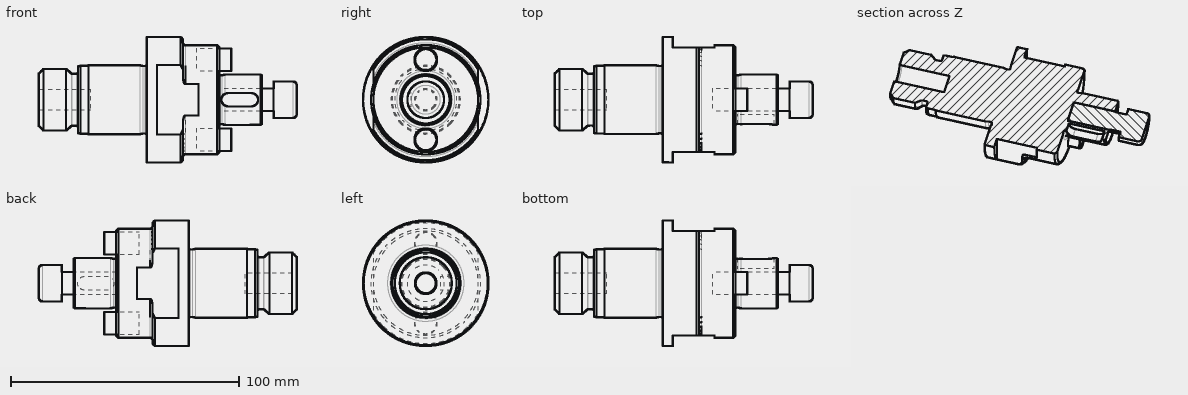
import cadquery as cq


NOSE_RADIUS = 13.6
NOSE_CHAMFER = 2.1
NOSE_END = 12.0
NECK_RADIUS = 11.4
NECK_START = 14.5
NECK_FILLET = 0.6

SHANK_START = 17.2
LEAD_RADIUS = 14.9
LEAD_CHAMFER_LENGTH = 1.0
LEAD_CHAMFER_DEPTH = 0.3
LEAD_END = 21.8
SHANK_RADIUS = 15.1

FLANGE_FRONT = 47.1
FLANGE_BACK = 63.2
FLANGE_DIAMETER = 55.0
FLANGE_RADIUS = FLANGE_DIAMETER / 2
FLANGE_FRONT_CHAMFER = 0.3
BACK_CHAMFER = 1.0
HUB_FILLET = 1.0
HUB_RADIUS = 24.0
HUB_BACK = 79.1

FLAT_START = 51.8
FLAT_END = 70.0
FLAT_OFFSET = 22.9

PILOT_RADIUS = 11.1
PILOT_END = 97.9
PILOT_CHAMFER = 0.7
KEYWAY_START = 80.0
KEYWAY_END = 96.0
KEYWAY_WIDTH = 5.8
KEYWAY_DEPTH = 4.5

SHANK_UNDERCUT_LENGTH = 2.7
PILOT_UNDERCUT_LENGTH = 2.5
UNDERCUT_TAPER_LENGTH = 1.2
UNDERCUT_DEPTH = 0.3
UNDERCUT_FACE_DEPTH = 0.2
UNDERCUT_FACE_WIDTH = 1.6
UNDERCUT_CORNER_RADIUS = 0.8

BORE_RADIUS = 4.4
BORE_DEPTH = 22.6
BORE_MOUTH_RADIUS = 4.7
BORE_MOUTH_DEPTH = 1.1

SCREW_RADIUS = 5.0
SCREW_START = HUB_BACK
SCREW_HEAD_START = 102.8
SCREW_HEAD_RADIUS = 8.0
SCREW_HEAD_FILLET = 1.7
SCREW_END = 113.0

PIN_RADIUS = 5.0
PIN_OFFSET = 17.5
PIN_END = 84.5
PIN_SEAT_DEPTH = 2 * PIN_RADIUS
PIN_CHAMFER = 0.3


def revolve_about_x(profile):
    """Revolve a closed (x, radius) profile about the X axis."""
    return profile.close().revolve(360, (0, 0, 0), (1, 0, 0))


def cylinder(start, end, radius, z=0):
    """Cylinder parallel to X between two stations, at height z."""
    return cq.Workplane("YZ", origin=(start, 0, z)).circle(radius).extrude(end - start)


def edge_at(x, radius):
    """Selector for the circular edge around the X axis at a station."""
    tolerance = 0.01
    reach = radius + tolerance
    low_corner = (x - tolerance, -reach, -reach)
    high_corner = (x + tolerance, reach, reach)
    return cq.selectors.BoxSelector(low_corner, high_corner, boundingbox=True)


def turned_body():
    """Stepped outline of the arbor with its chamfers and fillets."""
    outline = (
        cq.Workplane("XY")
        .moveTo(0, 0)
        .lineTo(0, NOSE_RADIUS - NOSE_CHAMFER)
        .lineTo(NOSE_CHAMFER, NOSE_RADIUS)
        .lineTo(NOSE_END, NOSE_RADIUS)
        .lineTo(NECK_START, NECK_RADIUS)
        .lineTo(SHANK_START, NECK_RADIUS)
        .lineTo(SHANK_START, LEAD_RADIUS - LEAD_CHAMFER_DEPTH)
        .lineTo(SHANK_START + LEAD_CHAMFER_LENGTH, LEAD_RADIUS)
        .lineTo(LEAD_END, LEAD_RADIUS)
        .lineTo(LEAD_END, SHANK_RADIUS)
        .lineTo(FLANGE_FRONT, SHANK_RADIUS)
        .lineTo(FLANGE_FRONT, FLANGE_RADIUS - FLANGE_FRONT_CHAMFER)
        .lineTo(FLANGE_FRONT + FLANGE_FRONT_CHAMFER, FLANGE_RADIUS)
        .lineTo(FLANGE_BACK - BACK_CHAMFER, FLANGE_RADIUS)
        .lineTo(FLANGE_BACK, FLANGE_RADIUS - BACK_CHAMFER)
        .lineTo(FLANGE_BACK, HUB_RADIUS)
        .lineTo(HUB_BACK - BACK_CHAMFER, HUB_RADIUS)
        .lineTo(HUB_BACK, HUB_RADIUS - BACK_CHAMFER)
        .lineTo(HUB_BACK, PILOT_RADIUS)
        .lineTo(PILOT_END - PILOT_CHAMFER, PILOT_RADIUS)
        .lineTo(PILOT_END, PILOT_RADIUS - PILOT_CHAMFER)
        .lineTo(PILOT_END, 0)
    )
    body = revolve_about_x(outline)
    for neck_corner in (NECK_START, SHANK_START):
        body = body.edges(edge_at(neck_corner, NECK_RADIUS)).fillet(NECK_FILLET)
    return body.edges(edge_at(FLANGE_BACK, HUB_RADIUS)).fillet(HUB_FILLET)


def undercut(face, radius, length, toward_face):
    """Ring cut where a cylinder meets a face; toward_face is the X sign from cylinder to face."""
    floor = radius - UNDERCUT_DEPTH
    bottom = face + toward_face * UNDERCUT_FACE_DEPTH
    arc_start = bottom - toward_face * UNDERCUT_CORNER_RADIUS
    taper_start = face - toward_face * length
    taper_end = taper_start + toward_face * UNDERCUT_TAPER_LENGTH
    profile = (
        cq.Workplane("XY")
        .moveTo(taper_start, radius)
        .lineTo(taper_end, floor)
        .lineTo(arc_start, floor)
        .tangentArcPoint((bottom, floor + UNDERCUT_CORNER_RADIUS), relative=False)
        .lineTo(face, radius + UNDERCUT_FACE_WIDTH)
        .lineTo(taper_start, radius + UNDERCUT_FACE_WIDTH)
    )
    return revolve_about_x(profile)


def wrench_flats():
    """Two blocks that mill the opposite flats."""
    length = FLAT_END - FLAT_START
    middle = (FLAT_START + FLAT_END) / 2
    depth = FLANGE_RADIUS - FLAT_OFFSET
    offset = FLAT_OFFSET + depth / 2
    return (
        cq.Workplane("XY")
        .pushPoints([(middle, offset), (middle, -offset)])
        .box(length, depth, 2 * FLANGE_RADIUS)
    )


def keyway():
    """Round-ended slot in the -Y side of the pilot."""
    middle = (KEYWAY_START + KEYWAY_END) / 2
    return (
        cq.Workplane("XZ", origin=(middle, -PILOT_RADIUS, 0))
        .slot2D(KEYWAY_END - KEYWAY_START, KEYWAY_WIDTH)
        .extrude(-KEYWAY_DEPTH)
    )


def nose_bore():
    """Blind bore with a conical mouth."""
    profile = (
        cq.Workplane("XY")
        .moveTo(0, 0)
        .lineTo(0, BORE_MOUTH_RADIUS)
        .lineTo(BORE_MOUTH_DEPTH, BORE_RADIUS)
        .lineTo(BORE_DEPTH, BORE_RADIUS)
        .lineTo(BORE_DEPTH, 0)
    )
    return revolve_about_x(profile)


def make_arbor():
    """Arbor with seats for the clamping screw and the drive pins."""
    body = (
        turned_body()
        .cut(undercut(FLANGE_FRONT, SHANK_RADIUS, SHANK_UNDERCUT_LENGTH, 1))
        .cut(undercut(HUB_BACK, PILOT_RADIUS, PILOT_UNDERCUT_LENGTH, -1))
        .cut(wrench_flats())
        .cut(keyway())
        .cut(nose_bore())
        .cut(cylinder(SCREW_START, PILOT_END, SCREW_RADIUS))
    )
    for side in (1, -1):
        body = body.cut(cylinder(HUB_BACK - PIN_SEAT_DEPTH, HUB_BACK, PIN_RADIUS, side * PIN_OFFSET))
    return body


def make_clamp_screw():
    """Screw seated in the pilot, its round head standing clear of the end."""
    head = cylinder(SCREW_HEAD_START, SCREW_END, SCREW_HEAD_RADIUS)
    head = head.faces(">X").edges().fillet(SCREW_HEAD_FILLET)
    return cylinder(SCREW_START, SCREW_HEAD_START, SCREW_RADIUS).union(head)


def make_drive_pin(z):
    """Pin seated in the hub and standing out of its back face."""
    pin = cylinder(HUB_BACK - PIN_SEAT_DEPTH, PIN_END, PIN_RADIUS, z)
    return pin.faces(">X").edges().chamfer(PIN_CHAMFER)


arbor = make_arbor()
clamp_screw = make_clamp_screw()
drive_pins = [make_drive_pin(side * PIN_OFFSET) for side in (1, -1)]

result = cq.Compound.makeCompound([arbor.val(), clamp_screw.val(), *[pin.val() for pin in drive_pins]])